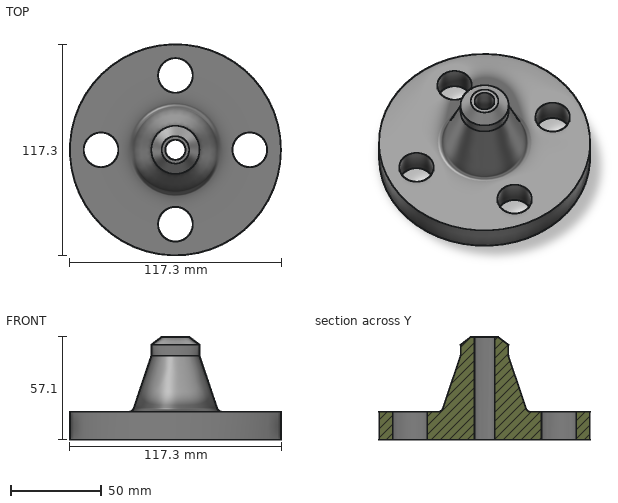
import cadquery as cq

flange_diameter = 117.3
flange_thickness = 15.6

bolt_hole_count = 4
bolt_hole_diameter = 19.1
bolt_circle_diameter = 82.6

total_height = 57.1
neck_diameter = 26.7
neck_bottom_z = 46.7
bevel_bottom_z = 52.8
weld_land_diameter = 15.3
bore_diameter = 11.0

hub_base_diameter = 47.6
hub_fillet_radius = 3.0


def make_body():
    """Revolve the solid flange, hub and bevelled neck about Z."""
    return (
        cq.Workplane("XZ")
        .moveTo(0, 0)
        .lineTo(flange_diameter / 2, 0)
        .lineTo(flange_diameter / 2, flange_thickness)
        .lineTo(hub_base_diameter / 2, flange_thickness)
        .lineTo(neck_diameter / 2, neck_bottom_z)
        .lineTo(neck_diameter / 2, bevel_bottom_z)
        .lineTo(weld_land_diameter / 2, total_height)
        .lineTo(0, total_height)
        .close()
        .revolve(360, (0, 0, 0), (0, 1, 0))
    )


def fillet_hub_base(body):
    """Blend the hub into the flange face with a concave fillet."""
    reach = (hub_base_diameter + flange_diameter) / 4
    around_hub_foot = cq.selectors.BoxSelector(
        (-reach, -reach, flange_thickness - hub_fillet_radius),
        (reach, reach, flange_thickness + hub_fillet_radius),
        boundingbox=True,
    )
    return body.edges(around_hub_foot).fillet(hub_fillet_radius)


def cut_holes(body):
    """Cut the central bore and the ring of bolt holes through the part."""
    body = body.faces("<Z").workplane().circle(bore_diameter / 2).cutThruAll()
    return (
        body.faces("<Z")
        .workplane()
        .polarArray(bolt_circle_diameter / 2, 0, 360, bolt_hole_count)
        .circle(bolt_hole_diameter / 2)
        .cutThruAll()
    )


result = cut_holes(fillet_hub_base(make_body()))